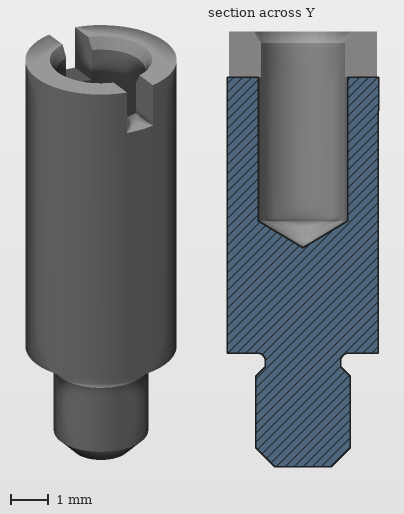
import cadquery as cq
import math

body_diameter = 4.0
body_length = 8.5
stud_diameter = 2.5
stud_length = 3.0
tip_chamfer = 0.5

neck_diameter = 2.0
neck_length = 0.6
neck_fillet = 0.2

hole_diameter = 2.35
hole_depth = 5.0
drill_point_angle = 118.0
countersink_diameter = 2.7
countersink_angle = 60.0

slot_width = 0.8
slot_depth = 1.2

body_radius = body_diameter / 2
stud_radius = stud_diameter / 2
neck_radius = neck_diameter / 2
hole_radius = hole_diameter / 2
countersink_radius = countersink_diameter / 2
overall_length = stud_length + body_length
neck_bottom = stud_length - neck_length
neck_cone_height = stud_radius - neck_radius


def cone_height(radius_change, included_angle):
    """Axial length of a cone over which its radius changes by the given amount."""
    return radius_change / math.tan(math.radians(included_angle / 2))


def revolve_about_z(profile):
    """Turn a closed half profile, drawn as (radius, height), into a solid."""
    return profile.close().revolve(360, (0, 0, 0), (0, 1, 0))


def make_outer_shape():
    """Body and chamfered stud, joined by a 45 degree cone, a neck and a fillet."""
    arc_offset = neck_fillet * (1 - math.sqrt(0.5))
    profile = (
        cq.Workplane("XZ")
        .moveTo(0, 0)
        .lineTo(stud_radius - tip_chamfer, 0)
        .lineTo(stud_radius, tip_chamfer)
        .lineTo(stud_radius, neck_bottom)
        .lineTo(neck_radius, neck_bottom + neck_cone_height)
        .lineTo(neck_radius, stud_length - neck_fillet)
        .threePointArc(
            (neck_radius + arc_offset, stud_length - arc_offset),
            (neck_radius + neck_fillet, stud_length),
        )
        .lineTo(body_radius, stud_length)
        .lineTo(body_radius, overall_length)
        .lineTo(0, overall_length)
    )
    return revolve_about_z(profile)


def make_hole():
    """Countersunk blind hole with a conical drill point."""
    hole_bottom = overall_length - hole_depth
    countersink_depth = cone_height(countersink_radius - hole_radius, countersink_angle)
    drill_point_height = cone_height(hole_radius, drill_point_angle)
    profile = (
        cq.Workplane("XZ")
        .moveTo(0, overall_length)
        .lineTo(countersink_radius, overall_length)
        .lineTo(hole_radius, overall_length - countersink_depth)
        .lineTo(hole_radius, hole_bottom)
        .lineTo(0, hole_bottom - drill_point_height)
    )
    return revolve_about_z(profile)


def make_slot():
    """Straight slot that runs through the full width of the body."""
    slot_floor = overall_length - slot_depth
    return (
        cq.Workplane("XY")
        .workplane(offset=slot_floor)
        .rect(body_diameter, slot_width)
        .extrude(slot_depth)
    )


result = make_outer_shape().cut(make_hole()).cut(make_slot())